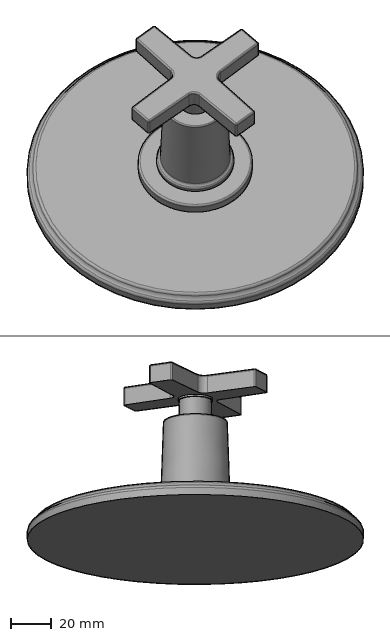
import cadquery as cq
import math

plate_radius = 82.5
plate_edge_height = 3.6
rim_round_long = 1.5
rim_round_short = 1.0
rim_cove_span = 1.8

flange_radius = 28.0
flange_top = 12.9
flange_edge_round = 1.0

foot_radius = 19.0
foot_edge_height = 14.4
foot_round_width = 0.7
foot_round_height = 1.0
foot_cove_width = 1.2
foot_cove_height = 1.5
body_top = 60.0
body_top_radius = 15.7
body_edge_round = 0.7

stem_radius = 8.0
collar_radius = 8.5
collar_height = 1.0

handle_top = 80.9
handle_thickness = 9.2
handle_bottom = handle_top - handle_thickness
arm_length = 36.7
arm_tip_half_width = 6.3
arm_root_half_width = 7.0
arm_count = 4
arm_corner_radius = 3.6
handle_edge_round = 0.8


def revolve_moulding(radius, wall_height, arc_steps, end_point):
    """Revolve an upright wall that leads into a chain of tangent arcs, then runs to end_point.

    Each arc step is an (inward, upward) distance; end_point is (radius, height).
    """
    height = wall_height
    sketch = cq.Workplane("XZ").lineTo(radius, 0).lineTo(radius, height)
    for inward, upward in arc_steps:
        radius -= inward
        height += upward
        sketch = sketch.tangentArcPoint((radius, height), relative=False)
    end_radius, end_height = end_point
    sketch = sketch.lineTo(end_radius, end_height)
    if end_radius > 0:
        sketch = sketch.lineTo(0, end_height)
    return sketch.close().revolve(360, (0, 0), (0, 1))


def make_plate():
    """Disc with the S-shaped rim around a flat top."""
    rim_steps = [
        (rim_round_short, rim_round_long),
        (rim_cove_span, rim_cove_span),
        (rim_round_long, rim_round_short),
    ]
    plate_height = plate_edge_height + rim_round_long + rim_cove_span + rim_round_short
    return revolve_moulding(plate_radius, plate_edge_height, rim_steps, (0, plate_height))


def make_flange():
    """Plain disc with a rounded top edge."""
    disc = cq.Workplane("XY").circle(flange_radius).extrude(flange_top)
    return disc.faces(">Z").edges().fillet(flange_edge_round)


def make_body():
    """Tapered column standing on a rounded and coved foot."""
    foot_steps = [
        (foot_round_width, foot_round_height),
        (foot_cove_width, foot_cove_height),
    ]
    column = revolve_moulding(foot_radius, foot_edge_height, foot_steps, (body_top_radius, body_top))
    return column.faces(">Z").edges().fillet(body_edge_round)


def make_stem():
    """Round stem ending in a thin collar under the handle."""
    collar_bottom = handle_bottom - collar_height
    stem = cq.Workplane("XY").circle(stem_radius).extrude(handle_bottom)
    collar = cq.Workplane("XY", origin=(0, 0, collar_bottom)).circle(collar_radius).extrude(collar_height)
    return stem.union(collar)


def make_handle():
    """Cross of four tapering arms with filleted inner corners and rounded outer edges."""
    arm_points = [
        (arm_root_half_width, -arm_root_half_width),
        (arm_length, -arm_tip_half_width),
        (arm_length, arm_tip_half_width),
    ]
    outline = []
    for arm in range(arm_count):
        angle = 2 * math.pi * arm / arm_count
        for x, y in arm_points:
            turned_x = x * math.cos(angle) - y * math.sin(angle)
            turned_y = x * math.sin(angle) + y * math.cos(angle)
            outline.append((turned_x, turned_y))
    blank = cq.Workplane("XY", origin=(0, 0, handle_bottom)).polyline(outline).close()
    handle = blank.extrude(handle_thickness)

    hub_half_size = arm_length / 2
    hub_corner = cq.Vector(hub_half_size, hub_half_size, handle_top)
    hub = cq.selectors.BoxSelector((-hub_corner).toTuple(), hub_corner.toTuple())
    upright = cq.selectors.ParallelDirSelector(cq.Vector(0, 0, 1))
    handle = handle.edges(upright - hub).fillet(handle_edge_round)
    handle = handle.edges(upright & hub).fillet(arm_corner_radius)
    return handle.faces(">Z").edges().fillet(handle_edge_round)


result = make_plate()
for section in (make_flange(), make_body(), make_stem(), make_handle()):
    result = result.union(section)